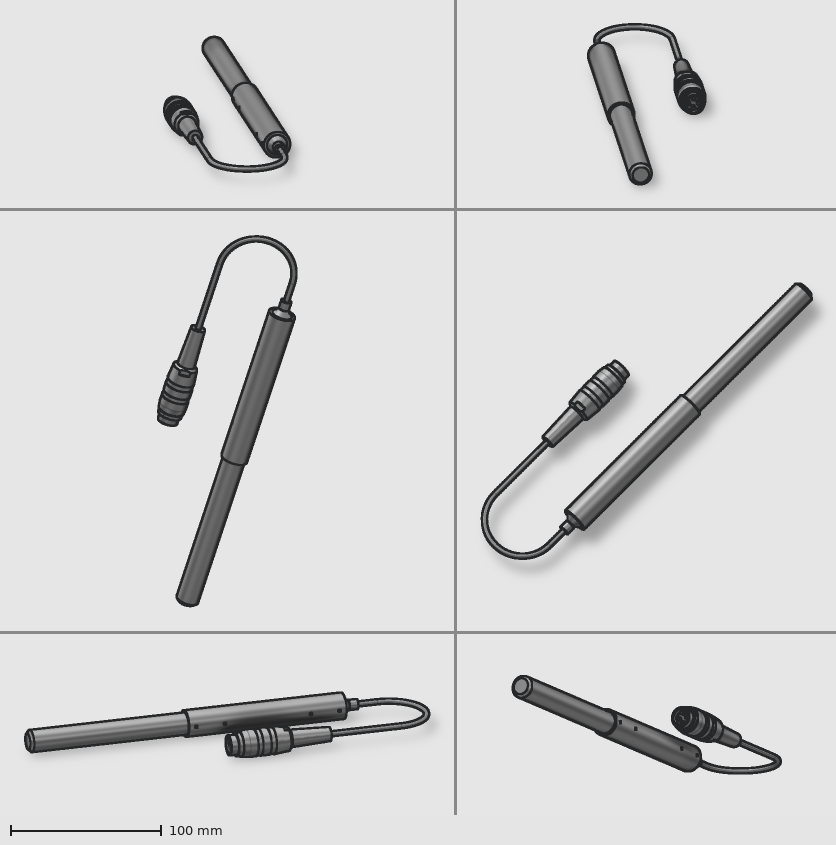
import cadquery as cq
TILT_ANGLE = -13.1
PROBE_AXIS_Y = 19.2
AXIS_SPACING = 50.2
LOOP_RADIUS = AXIS_SPACING / 2
PLUG_AXIS_Y = PROBE_AXIS_Y - AXIS_SPACING

TUBE_DIAMETER = 15.0
TUBE_LENGTH = 110.0
TUBE_START_X = -136.5
TUBE_CHAMFER = 2.0

HANDLE_DIAMETER = 18.0
HANDLE_LENGTH = 110.0
HANDLE_START_X = TUBE_START_X + TUBE_LENGTH
HANDLE_END_X = HANDLE_START_X + HANDLE_LENGTH
CONE_BASE_DIAMETER = 13.5
CONE_TIP_DIAMETER = 5.2
CONE_LENGTH = 4.2
FERRULE_DIAMETER = 7.0
FERRULE_LENGTH = 6.0
FERRULE_END_X = HANDLE_END_X + CONE_LENGTH + FERRULE_LENGTH
SIDE_HOLE_DIAMETER = 1.7
SIDE_HOLE_DEPTH = 1.5
SIDE_HOLE_END_MARGIN = 5.0
SIDE_HOLE_SPACING = 20.0

PLUG_FRONT_X = -13.0
NOSE_DIAMETER = 13.5
NOSE_END = 5.0
STEP_DIAMETER = 16.0
STEP_END = 8.0
SHOULDER_DIAMETER = 17.5
SHOULDER_END = 12.5
GRIP_DIAMETER = 18.5
GROOVE_DIAMETER = 18.0
GROOVE_SPANS = [(18.0, 21.3), (27.0, 30.7)]
BODY_REAR_DIAMETER = 16.5
BODY_REAR_END = 41.0
BODY_END = 43.0
BOOT_FRONT_DIAMETER = 12.0
BOOT_REAR_DIAMETER = 9.5
PLUG_LENGTH = 70.5
SOCKET_DIAMETER = 11.5
SOCKET_DEPTH = 4.7
PIN_DIAMETER = 2.25
PIN_TIP_DEPTH = 1.5
PIN_CIRCLE_DIAMETER = 6.8
PIN_COUNT = 4
KEY_SLOT_START = 38.2
KEY_SLOT_WIDTH = 7.0
KEY_SLOT_FLOOR_HEIGHT = 7.3

CABLE_DIAMETER = 3.6
LOOP_START_X = 107.5


def revolve_profile(stations, start_x, axis_y):
    """Turn a list of (distance along the axis, diameter) stations into a solid of revolution."""
    outline = [(distance, diameter / 2) for distance, diameter in stations]
    outline = [(outline[0][0], 0)] + outline + [(outline[-1][0], 0)]
    solid = cq.Workplane("XY").polyline(outline).close().revolve(360, (0, 0, 0), (1, 0, 0))
    return solid.translate((start_x, axis_y, 0))


def tilt(body):
    return body.rotate((0, 0, 0), (0, 0, 1), TILT_ANGLE)


def make_tube():
    stations = [
        (0, TUBE_DIAMETER - 2 * TUBE_CHAMFER),
        (TUBE_CHAMFER, TUBE_DIAMETER),
        (TUBE_LENGTH, TUBE_DIAMETER),
    ]
    return revolve_profile(stations, TUBE_START_X, PROBE_AXIS_Y)


def make_side_holes():
    """Blind holes along the -Y side of the handle, two near each end."""
    first = HANDLE_START_X + SIDE_HOLE_END_MARGIN
    last = HANDLE_END_X - SIDE_HOLE_END_MARGIN
    positions = [first, first + SIDE_HOLE_SPACING, last - SIDE_HOLE_SPACING, last]
    surface_y = PROBE_AXIS_Y - HANDLE_DIAMETER / 2
    return (
        cq.Workplane("XZ", origin=(0, surface_y, 0))
        .pushPoints([(x, 0) for x in positions])
        .circle(SIDE_HOLE_DIAMETER / 2)
        .extrude(-SIDE_HOLE_DEPTH)
    )


def make_handle():
    cone_end = HANDLE_LENGTH + CONE_LENGTH
    stations = [
        (0, HANDLE_DIAMETER),
        (HANDLE_LENGTH, HANDLE_DIAMETER),
        (HANDLE_LENGTH, CONE_BASE_DIAMETER),
        (cone_end, CONE_TIP_DIAMETER),
        (cone_end, FERRULE_DIAMETER),
        (cone_end + FERRULE_LENGTH, FERRULE_DIAMETER),
    ]
    return revolve_profile(stations, HANDLE_START_X, PROBE_AXIS_Y).cut(make_side_holes())


def make_plug_blank():
    stations = [
        (0, NOSE_DIAMETER),
        (NOSE_END, NOSE_DIAMETER),
        (NOSE_END, STEP_DIAMETER),
        (STEP_END, STEP_DIAMETER),
        (STEP_END, SHOULDER_DIAMETER),
        (SHOULDER_END, GRIP_DIAMETER),
    ]
    for groove_start, groove_end in GROOVE_SPANS:
        stations += [
            (groove_start, GRIP_DIAMETER),
            (groove_start, GROOVE_DIAMETER),
            (groove_end, GROOVE_DIAMETER),
            (groove_end, GRIP_DIAMETER),
        ]
    stations += [
        (BODY_REAR_END, BODY_REAR_DIAMETER),
        (BODY_END, BOOT_FRONT_DIAMETER),
        (PLUG_LENGTH, BOOT_REAR_DIAMETER),
    ]
    return revolve_profile(stations, PLUG_FRONT_X, PLUG_AXIS_Y)


def make_plug_socket():
    """The front recess of the plug, less the contact pins that stand on its floor."""
    front = cq.Workplane("YZ", origin=(PLUG_FRONT_X, PLUG_AXIS_Y, 0))
    recess = front.circle(SOCKET_DIAMETER / 2).extrude(SOCKET_DEPTH)
    pins = (
        front.workplane(offset=PIN_TIP_DEPTH)
        .polarArray(PIN_CIRCLE_DIAMETER / 2, 0, 360, PIN_COUNT)
        .circle(PIN_DIAMETER / 2)
        .extrude(SOCKET_DEPTH - PIN_TIP_DEPTH)
    )
    return recess.cut(pins)


def make_key_slots():
    """Flat-floored recesses in the top and bottom of the rear end of the plug body."""
    length = BODY_END - KEY_SLOT_START
    height = GRIP_DIAMETER / 2 - KEY_SLOT_FLOOR_HEIGHT
    slot = cq.Workplane("XY").box(length, KEY_SLOT_WIDTH, height, centered=(False, True, False))
    slot = slot.translate((PLUG_FRONT_X + KEY_SLOT_START, PLUG_AXIS_Y, KEY_SLOT_FLOOR_HEIGHT))
    return slot.union(slot.mirror("XY"))


def make_plug():
    return make_plug_blank().cut(make_plug_socket()).cut(make_key_slots())


def make_cable():
    path = (
        cq.Workplane("XY")
        .moveTo(FERRULE_END_X, PROBE_AXIS_Y)
        .lineTo(LOOP_START_X, PROBE_AXIS_Y)
        .threePointArc(
            (LOOP_START_X + LOOP_RADIUS, PROBE_AXIS_Y - LOOP_RADIUS),
            (LOOP_START_X, PLUG_AXIS_Y),
        )
        .lineTo(PLUG_FRONT_X + PLUG_LENGTH, PLUG_AXIS_Y)
    )
    start = cq.Workplane("YZ", origin=(FERRULE_END_X, PROBE_AXIS_Y, 0))
    return start.circle(CABLE_DIAMETER / 2).sweep(path)


tube = tilt(make_tube())
handle = tilt(make_handle())
cable = tilt(make_cable())
plug = tilt(make_plug())

result = cq.Compound.makeCompound([tube.val(), handle.val(), cable.val(), plug.val()])